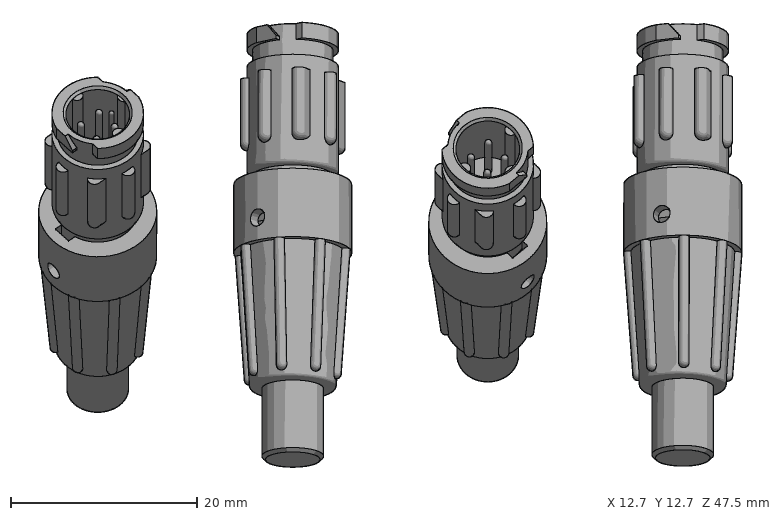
import cadquery as cq
import math

total_height = 47.5

flange_bottom = 45.75
sleeve_top = 43.9
sleeve_bottom = 31.7
collar_top = 30.75
spigot_end = 24.22
neck_radius = 4.3
sleeve_radius = 9.85 / 2
sleeve_fillet = 0.5

flat_distance = 4.75
slot_wall_distance = 3.25
ramp_top_x = 0.15
ramp_bottom_x = 1.35
ramp_bottom = 46.1

sleeve_rib_radius = 0.75
sleeve_rib_top = 42.28
sleeve_rib_bottom = 35.1

socket_radius = 3.4
socket_chamfer = 0.3
socket_floor = 38.95
side_key_radius = 0.65
main_key_radius = 0.75
main_key_offset = 3.8
pin_radius = 0.4
pin_offset = 1.3
small_pin_radius = 0.3
small_pin_place = (-0.8, 2.65)
pin_tip = 45.6
small_pin_tip = 44.75

hole_height = 25.6
hole_radius = 0.95
tab_radius = 0.85
tab_reach = 5.1
tab_setback = 0.4

collar_radius = 12.7 / 2
collar_bottom = 23.1
slot_half_width = 1.1
slot_reach = 5.1
slot_depth = 1.9
grip_bottom = 7.95
grip_top_radius = 5.6
grip_bottom_radius = 4.65
grip_fillet = 0.45
grip_rib_count = 8
grip_rib_radius = 0.55
grip_rib_top_offset = 5.8
grip_rib_bottom_offset = 4.8
grip_rib_bottom = 9.25
cable_radius = 3.32
cable_chamfer = 0.4


def cylinder(radius, bottom, top, place=(0, 0)):
    """Upright cylinder between two heights."""
    return cq.Workplane("XY", origin=(*place, bottom)).circle(radius).extrude(top - bottom)


def half_turn_pair(body):
    """The body together with its copy turned half a turn about Z."""
    return [body, body.rotate((0, 0, 0), (0, 0, 1), 180)]


def shell_body():
    """Flange, neck, sleeve and spigot on one axis."""
    shell = cylinder(neck_radius, spigot_end, total_height)
    sleeve = cylinder(sleeve_radius, sleeve_bottom, sleeve_top)
    sleeve = sleeve.faces("<Z").edges().fillet(sleeve_fillet)
    flange = cylinder(sleeve_radius, flange_bottom, total_height)
    return shell.union(sleeve).union(flange)


def bayonet_cutter():
    """Flat and ramped entry slot on the -Y side of the flange, outside the neck."""
    height = total_height - flange_bottom
    flat = cq.Workplane("XY").box(2 * sleeve_radius, sleeve_radius, height, centered=(True, False, False))
    flat = flat.translate((0, -flat_distance - sleeve_radius, flange_bottom))
    slot = (
        cq.Workplane("XZ", origin=(0, -slot_wall_distance, 0))
        .moveTo(ramp_top_x, total_height)
        .lineTo(ramp_bottom_x, ramp_bottom)
        .lineTo(ramp_bottom_x, flange_bottom)
        .lineTo(sleeve_radius, flange_bottom)
        .lineTo(sleeve_radius, total_height)
        .close()
        .extrude(sleeve_radius)
    )
    return flat.union(slot).cut(cylinder(neck_radius, flange_bottom, total_height))


def domed_rod(radius, length):
    """Rod along +Z from the origin, with a half ball below it."""
    return (
        cq.Workplane("XZ")
        .moveTo(0, length)
        .lineTo(radius, length)
        .lineTo(radius, 0)
        .radiusArc((0, -radius), radius)
        .close()
        .revolve(360, (0, 0, 0), (0, 1, 0))
    )


def sleeve_rib(angle):
    """Round rib with a domed lower end. Ribs off the axes run straight back to the XZ plane."""
    x = sleeve_radius * math.cos(math.radians(angle))
    y = sleeve_radius * math.sin(math.radians(angle))
    length = sleeve_rib_top - sleeve_rib_bottom
    rib = domed_rod(sleeve_rib_radius, length).translate((x, y, sleeve_rib_bottom))
    if angle % 90 != 0:
        run_back = (
            cq.Workplane("XZ", origin=(x, y, sleeve_rib_bottom))
            .moveTo(-sleeve_rib_radius, length)
            .lineTo(-sleeve_rib_radius, 0)
            .threePointArc((0, -sleeve_rib_radius), (sleeve_rib_radius, 0))
            .lineTo(sleeve_rib_radius, length)
            .close()
            .extrude(y)
        )
        rib = rib.union(run_back)
    return rib


def socket_cutter():
    """Chamfered bore for the mating connector, less the three keys left standing in it."""
    bore = cylinder(socket_radius, socket_floor, total_height)
    key_top = total_height - socket_chamfer
    for x in (-socket_radius, socket_radius):
        bore = bore.cut(cylinder(side_key_radius, socket_floor, key_top, (x, 0)))
    bore = bore.cut(cylinder(main_key_radius, socket_floor, key_top, (0, main_key_offset)))
    mouth = cq.Workplane("XY").add(
        cq.Solid.makeCone(
            socket_radius, socket_radius + socket_chamfer, socket_chamfer, pnt=cq.Vector(0, 0, key_top)
        )
    )
    return bore.union(mouth)


def contact_pin(radius, place, tip):
    """Pin with a round tip standing on the socket floor."""
    pin = cylinder(radius, socket_floor, tip - radius, place)
    return pin.union(cq.Workplane("XY").sphere(radius).translate((*place, tip - radius)))


def snap_tab():
    """Round tab on the -Y side whose lower half slopes back toward the spigot."""
    tab = cq.Workplane("XZ", origin=(0, 0, hole_height)).circle(tab_radius).extrude(tab_reach)
    slope = (
        cq.Workplane("YZ", origin=(0, 0, hole_height))
        .moveTo(-tab_reach, 0)
        .lineTo(tab_setback - tab_reach, -tab_radius)
        .lineTo(-tab_reach, -tab_radius)
        .close()
        .extrude(tab_radius, both=True)
    )
    return tab.cut(slope)


def make_plug():
    plug = shell_body()
    corner_rib = sleeve_rib(45)
    for rib in (sleeve_rib(0), sleeve_rib(90), corner_rib, corner_rib.mirror("YZ")):
        for copy in half_turn_pair(rib):
            plug = plug.union(copy)
    for cutter in half_turn_pair(bayonet_cutter()):
        plug = plug.cut(cutter)
    for tab in half_turn_pair(snap_tab()):
        plug = plug.union(tab)
    plug = plug.cut(socket_cutter())
    for x in (-pin_offset, pin_offset):
        for y in (-pin_offset, pin_offset):
            plug = plug.union(contact_pin(pin_radius, (x, y), pin_tip))
    return plug.union(contact_pin(small_pin_radius, small_pin_place, small_pin_tip))


def grip_core():
    """Tapered grip with a rounded lower edge."""
    grip = (
        cq.Workplane("XZ")
        .lineTo(grip_bottom_radius, 0)
        .lineTo(grip_top_radius, collar_bottom - grip_bottom)
        .lineTo(0, collar_bottom - grip_bottom)
        .close()
        .revolve(360, (0, 0, 0), (0, 1, 0))
        .translate((0, 0, grip_bottom))
    )
    return grip.faces("<Z").edges().fillet(grip_fillet)


def grip_rib(angle):
    """Round rib leaning with the taper of the grip, ending in a ball below."""
    foot = cq.Vector(grip_rib_bottom_offset, 0, grip_rib_bottom)
    lean = cq.Vector(grip_rib_top_offset, 0, collar_bottom) - foot
    tilt = math.degrees(math.atan2(lean.x, lean.z))
    rib = domed_rod(grip_rib_radius, lean.Length + grip_rib_radius)
    rib = rib.rotate((0, 0, 0), (0, 1, 0), tilt).translate(foot.toTuple())
    rib = rib.cut(cylinder(2 * collar_radius, collar_bottom, collar_top))
    return rib.rotate((0, 0, 0), (0, 0, 1), angle)


def collar_cutter():
    """Bore for the spigot, with an entry slot and a cross hole for each snap tab."""
    bore = cylinder(neck_radius, spigot_end, collar_top)
    slots = (
        cq.Workplane("XY", origin=(0, 0, collar_top - slot_depth))
        .rect(2 * slot_half_width, 2 * slot_reach)
        .extrude(slot_depth)
    )
    holes = cq.Workplane("XZ", origin=(0, 0, hole_height)).circle(hole_radius).extrude(collar_radius, both=True)
    return bore.union(slots).union(holes)


def make_backshell():
    shell = cylinder(collar_radius, collar_bottom, collar_top).union(grip_core())
    rib_pitch = 360 / grip_rib_count
    for index in range(grip_rib_count):
        shell = shell.union(grip_rib((index + 0.5) * rib_pitch))
    cable = cylinder(cable_radius, 0, grip_bottom).faces("<Z").edges().chamfer(cable_chamfer)
    return shell.union(cable).cut(collar_cutter())


plug = make_plug()
backshell = make_backshell()

result = cq.Compound.makeCompound([plug.val(), backshell.val()])